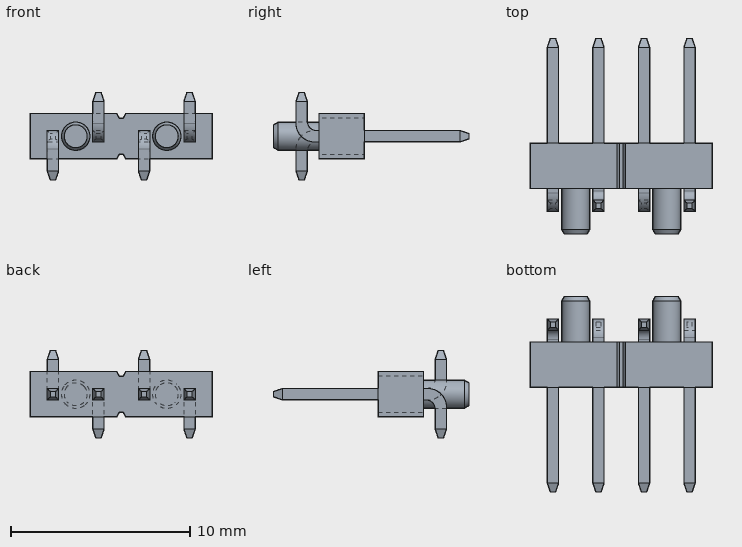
import cadquery as cq

pitch = 2.54
pin_count = 4

body_length = pin_count * pitch
body_depth = pitch
body_height = pitch
front_y = -body_depth / 2
back_y = body_depth / 2

notch_depth = 0.254
notch_mouth_width = 0.5
notch_floor_width = 0.22

pin_width = 0.64
pin_tip_width = 0.3
pin_tip_length = 0.5
tail_length = 5.842
leg_reach = 2.45
leg_outer_offset = 1.28
bend_inner_radius = 0.5
bend_outer_radius = 1.04

peg_diameter = 1.58
peg_length = 2.54
peg_chamfer_length = 0.27
peg_chamfer_radial = 0.15
peg_positions = (-pitch, pitch)


def make_body():
    """Rectangular housing with a trapezoidal notch above and below."""
    body = cq.Workplane("XY").box(body_length, body_depth, body_height)
    for side in (1, -1):
        face_z = side * body_height / 2
        floor_z = side * (body_height / 2 - notch_depth)
        notch = (
            cq.Workplane("XZ", origin=(0, back_y, 0))
            .moveTo(-notch_mouth_width / 2, face_z)
            .lineTo(-notch_floor_width / 2, floor_z)
            .lineTo(notch_floor_width / 2, floor_z)
            .lineTo(notch_mouth_width / 2, face_z)
            .close()
            .extrude(body_depth)
        )
        body = body.cut(notch)
    return body


def make_tip(base_center, direction, x_direction):
    """Square pyramid frustum that ends a pin, growing along direction."""
    base_plane = cq.Plane(origin=base_center, xDir=x_direction, normal=direction)
    return (
        cq.Workplane(base_plane)
        .rect(pin_width, pin_width)
        .workplane(offset=pin_tip_length)
        .rect(pin_tip_width, pin_tip_width)
        .loft(ruled=True)
    )


def make_pin():
    """Pin at X = 0: straight tail along +Y, leg bent down to -Z in front."""
    half = pin_width / 2
    tail_base_y = back_y + tail_length - pin_tip_length
    leg_base_z = -(leg_reach - pin_tip_length)
    leg_outer_y = front_y - leg_outer_offset
    leg_inner_y = leg_outer_y + pin_width
    outer_bend_y = leg_outer_y + bend_outer_radius
    inner_bend_y = leg_inner_y + bend_inner_radius
    outer_bend_z = half - bend_outer_radius
    inner_bend_z = -half - bend_inner_radius

    bar = (
        cq.Workplane("YZ", origin=(-half, 0, 0))
        .moveTo(tail_base_y, half)
        .lineTo(outer_bend_y, half)
        .radiusArc((leg_outer_y, outer_bend_z), -bend_outer_radius)
        .lineTo(leg_outer_y, leg_base_z)
        .lineTo(leg_inner_y, leg_base_z)
        .lineTo(leg_inner_y, inner_bend_z)
        .radiusArc((inner_bend_y, -half), bend_inner_radius)
        .lineTo(tail_base_y, -half)
        .close()
        .extrude(pin_width)
    )
    tail_tip = make_tip((0, tail_base_y, 0), (0, 1, 0), (1, 0, 0))
    leg_tip = make_tip((0, leg_outer_y + half, leg_base_z), (0, 0, -1), (1, 0, 0))
    return bar.union(tail_tip).union(leg_tip)


def make_peg(x):
    """Round peg on the front face with a chamfered end."""
    peg_radius = peg_diameter / 2
    end_radius = peg_radius - peg_chamfer_radial
    return (
        cq.Workplane("XY", origin=(x, front_y, 0))
        .lineTo(peg_radius, 0)
        .lineTo(peg_radius, peg_chamfer_length - peg_length)
        .lineTo(end_radius, -peg_length)
        .lineTo(0, -peg_length)
        .close()
        .revolve(360, (0, 0, 0), (0, 1, 0))
    )


result = make_body()

down_pin = make_pin()
up_pin = down_pin.rotate((0, 0, 0), (0, 1, 0), 180)
for index in range(pin_count):
    pin = down_pin if index % 2 == 0 else up_pin
    pin_x = (index - (pin_count - 1) / 2) * pitch
    result = result.union(pin.translate((pin_x, 0, 0)))

for peg_x in peg_positions:
    result = result.union(make_peg(peg_x))